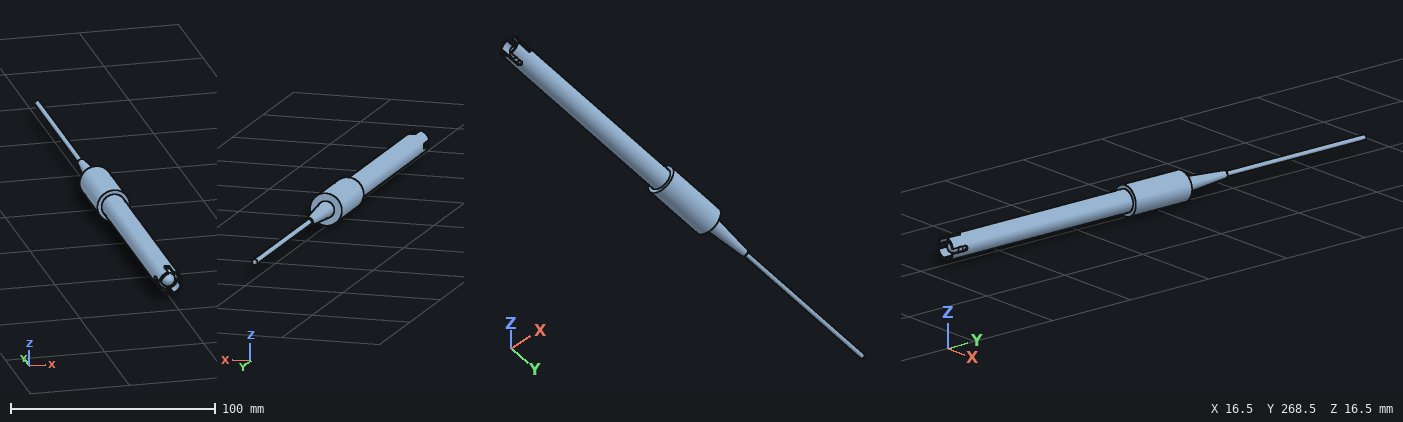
import cadquery as cq
import math

total_length = 268.5
tip_y = -total_length / 2
cable_end_y = total_length / 2

body_length = 115.2
sleeve_length = 36.0
boot_length = 28.0

body_diameter = 12.0
sleeve_diameter = 16.5
boot_base_diameter = 8.5
boot_end_diameter = 4.3
cable_diameter = 3.0
bore_diameter = 10.2
bulb_diameter = 7.0

slot_count = 4
slot_width = 2.7
slot_depth = 9.0
bulb_recess = 2.1
collar_height = 1.3
core_root_depth = 16.0

body_radius = body_diameter / 2
sleeve_radius = sleeve_diameter / 2
cable_radius = cable_diameter / 2
bore_radius = bore_diameter / 2
bulb_radius = bulb_diameter / 2

sleeve_start_y = tip_y + body_length
sleeve_end_y = sleeve_start_y + sleeve_length
boot_end_y = sleeve_end_y + boot_length
bulb_tip_y = tip_y + bulb_recess
bulb_base_y = bulb_tip_y + bulb_radius
collar_y = bulb_base_y + collar_height
core_root_y = tip_y + core_root_depth


def revolve_about_y(profile):
    """Revolve a closed half profile, drawn in XY with X as radius."""
    return profile.close().revolve(360, (0, 0, 0), (0, 1, 0))


def make_outer_form():
    """Tubular body, grip sleeve, tapered strain-relief boot and cable."""
    return revolve_about_y(
        cq.Workplane("XY")
        .moveTo(0, tip_y)
        .lineTo(body_radius, tip_y)
        .lineTo(body_radius, sleeve_start_y)
        .lineTo(sleeve_radius, sleeve_start_y)
        .lineTo(sleeve_radius, sleeve_end_y)
        .lineTo(boot_base_diameter / 2, sleeve_end_y)
        .lineTo(boot_end_diameter / 2, boot_end_y)
        .lineTo(cable_radius, boot_end_y)
        .lineTo(cable_radius, cable_end_y)
        .lineTo(0, cable_end_y)
    )


def make_bore():
    """Round bore, open at the tip and as deep as the rim of the conical collar."""
    return cq.Workplane("XZ", origin=(0, tip_y, 0)).circle(bore_radius).extrude(tip_y - collar_y)


def make_slot():
    """Round-ended slot through the guard wall on the +Z side."""
    slot_radius = slot_width / 2
    straight_end_y = tip_y + slot_depth - slot_radius
    return (
        cq.Workplane("XY")
        .moveTo(-slot_radius, tip_y)
        .lineTo(slot_radius, tip_y)
        .lineTo(slot_radius, straight_end_y)
        .threePointArc((0, tip_y + slot_depth), (-slot_radius, straight_end_y))
        .close()
        .extrude(sleeve_radius)
    )


def make_core():
    """Core filling the bore diameter, with a conical collar and a domed bulb; it also floors the slots."""
    arc_offset = bulb_radius * math.sqrt(0.5)
    return revolve_about_y(
        cq.Workplane("XY")
        .moveTo(0, bulb_tip_y)
        .threePointArc((arc_offset, bulb_base_y - arc_offset), (bulb_radius, bulb_base_y))
        .lineTo(bore_radius, collar_y)
        .lineTo(bore_radius, core_root_y)
        .lineTo(0, core_root_y)
    )


result = make_outer_form().cut(make_bore())
for index in range(slot_count):
    slot = make_slot().rotate((0, 0, 0), (0, 1, 0), index * 360 / slot_count)
    result = result.cut(slot)
result = result.union(make_core())